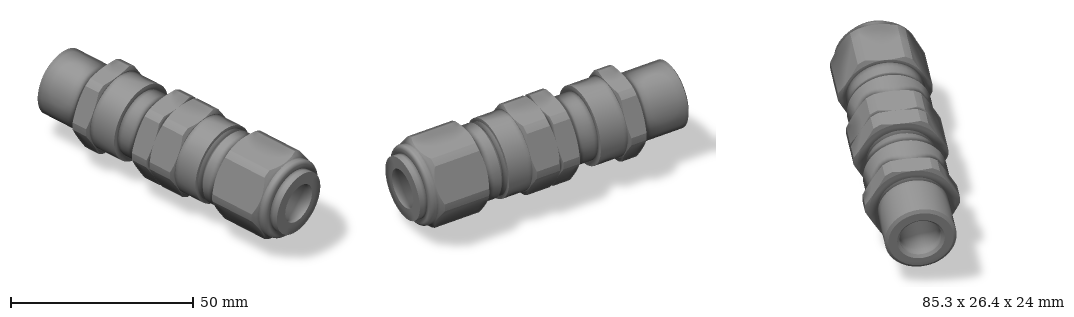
import cadquery as cq
import math

TOTAL_LENGTH = 85.3
BORE_DIAMETER = 11.7
BORE_CHAMFER = 0.8

HEX_FLATS = 24.0
HEX_CORNER_DIAMETER = 26.4
FLAT_RADIUS = HEX_FLATS / 2
CORNER_RADIUS = HEX_CORNER_DIAMETER / 2
CORNER_DROP = CORNER_RADIUS - FLAT_RADIUS
STEEP_CHAMFER = CORNER_DROP * math.tan(math.radians(20))
WIDE_CHAMFER = CORNER_DROP * math.tan(math.radians(30))

THREAD_RADIUS = 10.0
COLLAR_RADIUS = 11.8
ENTRY_COLLAR_RADIUS = 11.7
NUT_THREAD_RADIUS = 11.0
SEAL_RADIUS = 9.5

SPIGOT_CHAMFER_LENGTH = 0.6
SPIGOT_CHAMFER_DEPTH = 0.9
SPIGOT_END = 13.5
SPIGOT_RELIEF_LENGTH = 1.0
SPIGOT_RELIEF_DEPTH = 1.0
RELIEF_SHOULDER_RADIUS = 9.7

ENTRY_HEX_START = 15.2
ENTRY_HEX_END = 20.8
ENTRY_COLLAR_END = 29.2
MIDDLE_THREAD_END = 34.5
MIDDLE_RELIEF_DEPTH = 0.8
MIDDLE_NECK_LENGTH = 0.3
MIDDLE_HEX_START = 36.25
MIDDLE_HEX_END = 42.3
BODY_HEX_END = 50.9
BODY_COLLAR_END = 58.2
NUT_START = 64.6

V_GROOVE_RADIUS = 9.9
V_GROOVE_X = 59.0

CAP_START = 80.7
CAP_END = 82.8
CAP_FILLET = 1.0

SEAL_TILT = 1.0
SEAL_TILT_DIRECTION = 27.0


def revolve_profile(points):
    """Turn an (X, radius) outline, closed along the axis, about the X axis."""
    outline = [(points[0][0], 0)] + points + [(points[-1][0], 0)]
    return cq.Workplane("XY").polyline(outline).close().revolve(360, (0, 0, 0), (1, 0, 0))


def cylinder(start, end, radius):
    return cq.Workplane("YZ", origin=(start, 0, 0)).circle(radius).extrude(end - start)


def hexagon(start, end, start_chamfer, end_chamfer, end_radius=FLAT_RADIUS):
    """Hexagon with flats facing +Z and -Z, its corners turned and its ends chamfered."""
    corner_to_corner = HEX_FLATS / math.cos(math.radians(30))
    prism = cq.Workplane("YZ", origin=(start, 0, 0)).polygon(6, corner_to_corner).extrude(end - start)
    envelope = revolve_profile([
        (start, FLAT_RADIUS),
        (start + start_chamfer, CORNER_RADIUS),
        (end - end_chamfer, CORNER_RADIUS),
        (end, end_radius),
    ])
    return prism.intersect(envelope)


def spigot():
    groove_radius = THREAD_RADIUS - SPIGOT_RELIEF_DEPTH
    return revolve_profile([
        (0, THREAD_RADIUS - SPIGOT_CHAMFER_DEPTH),
        (SPIGOT_CHAMFER_LENGTH, THREAD_RADIUS),
        (SPIGOT_END, THREAD_RADIUS),
        (SPIGOT_END + SPIGOT_RELIEF_LENGTH, groove_radius),
        (ENTRY_HEX_START, RELIEF_SHOULDER_RADIUS),
    ])


def middle_thread():
    groove_radius = THREAD_RADIUS - MIDDLE_RELIEF_DEPTH
    neck_start = MIDDLE_THREAD_END + MIDDLE_RELIEF_DEPTH
    return revolve_profile([
        (ENTRY_COLLAR_END, THREAD_RADIUS),
        (MIDDLE_THREAD_END, THREAD_RADIUS),
        (neck_start, groove_radius),
        (neck_start + MIDDLE_NECK_LENGTH, groove_radius),
        (MIDDLE_HEX_START, RELIEF_SHOULDER_RADIUS),
    ])


def nut_thread():
    groove_depth = NUT_THREAD_RADIUS - V_GROOVE_RADIUS
    start_radius = V_GROOVE_RADIUS + (V_GROOVE_X - BODY_COLLAR_END)
    return revolve_profile([
        (BODY_COLLAR_END, start_radius),
        (V_GROOVE_X, V_GROOVE_RADIUS),
        (V_GROOVE_X + groove_depth, NUT_THREAD_RADIUS),
        (NUT_START, NUT_THREAD_RADIUS),
    ])


def clamping_nut():
    cone_length = CORNER_RADIUS - COLLAR_RADIUS
    nut = hexagon(NUT_START, CAP_START, WIDE_CHAMFER, cone_length, COLLAR_RADIUS)
    cap = cylinder(CAP_START, CAP_END, COLLAR_RADIUS).faces(">X").edges().fillet(CAP_FILLET)
    return nut.union(cap)


def seal():
    """Round stub whose end is cut by a slightly leaning plane, with its tip at the full length."""
    stub = cylinder(CAP_END, TOTAL_LENGTH, SEAL_RADIUS)
    tilt = math.radians(SEAL_TILT)
    lean = math.radians(SEAL_TILT_DIRECTION)
    face_centre_x = TOTAL_LENGTH - SEAL_RADIUS * math.tan(tilt)
    normal = (
        math.cos(tilt),
        math.sin(tilt) * math.sin(lean),
        -math.sin(tilt) * math.cos(lean),
    )
    end_plane = cq.Plane(origin=(face_centre_x, 0, 0), normal=normal)
    waste = cq.Workplane(end_plane).circle(2 * SEAL_RADIUS).extrude(SEAL_RADIUS)
    return stub.cut(waste)


def bore():
    mouth = revolve_profile([
        (0, BORE_DIAMETER / 2 + BORE_CHAMFER),
        (BORE_CHAMFER, BORE_DIAMETER / 2),
    ])
    return cylinder(0, TOTAL_LENGTH, BORE_DIAMETER / 2).union(mouth)


sections = [
    hexagon(ENTRY_HEX_START, ENTRY_HEX_END, STEEP_CHAMFER, STEEP_CHAMFER),
    cylinder(ENTRY_HEX_END, ENTRY_COLLAR_END, ENTRY_COLLAR_RADIUS),
    middle_thread(),
    hexagon(MIDDLE_HEX_START, MIDDLE_HEX_END, STEEP_CHAMFER, STEEP_CHAMFER),
    hexagon(MIDDLE_HEX_END, BODY_HEX_END, WIDE_CHAMFER, WIDE_CHAMFER),
    cylinder(BODY_HEX_END, BODY_COLLAR_END, COLLAR_RADIUS),
    nut_thread(),
    clamping_nut(),
    seal(),
]

body = spigot()
for section in sections:
    body = body.union(section)

result = body.cut(bore())